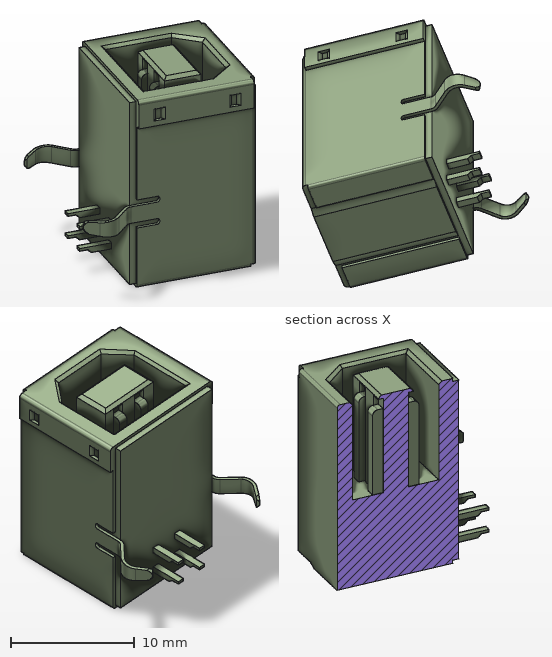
import cadquery as cq
import math


TOTAL_HEIGHT = 17.0
SHELL_BACK = 11.0
SHELL_HALF_WIDTH = 5.7
SHEET = 0.28
SHELL_FRONT = 0.55
SHELL_CORNER_RADIUS = 0.35
HOUSING_HALF_WIDTH = SHELL_HALF_WIDTH - SHEET
HOUSING_TOP = TOTAL_HEIGHT - SHEET

CAP_HALF_WIDTH = 6.03
CAP_BOTTOM = 14.52
CAP_BACK = 10.63
CAP_EDGE_RADIUS = 0.33
BACK_STRIP_HALF_WIDTH = 5.22
SHELL_WALL_TOP = 16.25
BACK_STRIP_RADIUS = 0.27

DIMPLE_LENGTH = 1.0
DIMPLE_HEIGHT = 1.06
DIMPLE_DEPTH = 0.3
DIMPLE_SLOPE = 0.27
DIMPLE_Z = 15.52
DIMPLE_Y_PLACES = (2.38, 9.0)

SIDE_FLAP_INNER_EDGE = 3.36
SIDE_FLAP_BACK = 10.5
FLAP_EDGE_RADIUS = 0.25
CENTRE_FLAP_HALF_WIDTH = 3.2
CENTRE_FLAP_HALF_BOTTOM = 2.5

SOCKET_HALF_WIDTH = 4.25
SOCKET_FRONT = 1.84
SOCKET_BACK = 9.6
SOCKET_SHOULDER_Y = 7.59
SOCKET_BACK_HALF_WIDTH = 2.52
SOCKET_DEPTH = 9.0
LEAD_IN_SIDE = 0.22
LEAD_IN_END = 0.29
LEAD_IN_SHOULDER = 0.09
LEAD_IN_CORNER = 0.14
LEAD_IN_DEPTH = 0.28

TONGUE_HALF_WIDTH = 2.85
TONGUE_FRONT = 4.1
TONGUE_BACK = 7.3
TONGUE_CHAMFER_X = 0.35
TONGUE_CHAMFER_Y = 0.29
TONGUE_CHAMFER_Z = 0.28
CONTACT_PITCH = 2.5
CONTACT_WIDTH = 0.86
CONTACT_PROTRUSION = 0.5
CONTACT_RADIUS = 0.48
CONTACT_TOP = 15.71
SLOT_DEPTH = 0.45
SLOT_LEFT_CLEARANCE = 0.2
SLOT_ROOF_DROP = 0.1

PIN_WIDTH = 0.6
PIN_HEIGHT = 0.55
PIN_TIP_HEIGHT = 0.25
PIN_LENGTH = 2.79
PIN_TAPER_START = 1.78
PIN_TAPER_END = 2.1
PIN_TOPS = (2.28, 4.28)

CLIP_Z = 6.69
CLIP_HALF_WIDTH = 0.745
CLIP_SLOT_HEIGHT = 0.52
CLIP_SLOT_BACK = 2.53
CLIP_REACH = 7.445
CLIP_LENGTH = 4.42
CLIP_BEND_ANGLE = 45
CLIP_NECK_RADIUS = 0.6
CLIP_BELLY_RADIUS = 1.3
CLIP_BELLY_END_ANGLE = 217
CLIP_TAPER_START = 1.9
CLIP_SHOULDER = 4.05
CLIP_SHOULDER_HALF_WIDTH = 0.54


def block(x0, x1, y0, y1, z0, z1):
    """Axis-aligned box between two opposite corners."""
    return cq.Workplane("XY").box(x1 - x0, y1 - y0, z1 - z0, centered=False).translate((x0, y0, z0))


def both_sides(half):
    """Join a shape on the -X side with its mirror image on the +X side."""
    return half.union(half.mirror("YZ"))


def make_shell_wall():
    """Housing block wrapped by the side and back walls of the shell."""
    housing = block(-HOUSING_HALF_WIDTH, HOUSING_HALF_WIDTH, 0, CAP_BACK, SHEET, HOUSING_TOP)
    lower = block(-SHELL_HALF_WIDTH, SHELL_HALF_WIDTH, SHELL_FRONT, SHELL_BACK, SHEET, SHELL_WALL_TOP)
    lower = lower.edges("|Z and >Y").fillet(SHELL_CORNER_RADIUS)
    return lower.union(housing)


def make_cap():
    """Top plate with folded side skirts and the strip bent down onto the back wall."""
    cap = block(-CAP_HALF_WIDTH, CAP_HALF_WIDTH, SHELL_FRONT, CAP_BACK, CAP_BOTTOM, TOTAL_HEIGHT)
    cap = cap.edges("|Y and >Z").fillet(CAP_EDGE_RADIUS)
    half_strip = BACK_STRIP_HALF_WIDTH
    strip = block(-half_strip, half_strip, SHELL_FRONT, SHELL_BACK, CAP_BOTTOM, TOTAL_HEIGHT)
    strip = strip.edges("|X and >Y and >Z").fillet(BACK_STRIP_RADIUS)
    return cap.union(strip)


def make_dimples():
    """Latch dimples with a flat floor and two sloped ends, on both cap sides."""
    half_length = DIMPLE_LENGTH / 2
    floor_x = -CAP_HALF_WIDTH + DIMPLE_DEPTH
    half_floor = half_length - DIMPLE_SLOPE
    dimples = cq.Workplane("XY")
    for y in DIMPLE_Y_PLACES:
        dimple = (
            cq.Workplane("XY", origin=(0, y, DIMPLE_Z))
            .moveTo(-CAP_HALF_WIDTH, -half_length)
            .lineTo(floor_x, -half_floor)
            .lineTo(floor_x, half_floor)
            .lineTo(-CAP_HALF_WIDTH, half_length)
            .close()
            .extrude(DIMPLE_HEIGHT / 2, both=True)
        )
        dimples = dimples.add(dimple)
    return both_sides(dimples.combine())


def make_bottom_flaps():
    """Two flaps folded in from the sides and a centre flap with sloped ends."""
    side_flap = block(-SHELL_HALF_WIDTH, -SIDE_FLAP_INNER_EDGE, SHELL_FRONT, SIDE_FLAP_BACK, 0, SHEET)
    side_flap = side_flap.edges("|Y and <Z and <X").fillet(FLAP_EDGE_RADIUS)
    centre_flap = (
        cq.Workplane("XZ", origin=(0, SHELL_BACK, 0))
        .moveTo(-CENTRE_FLAP_HALF_WIDTH, SHEET)
        .lineTo(-CENTRE_FLAP_HALF_BOTTOM, 0)
        .lineTo(CENTRE_FLAP_HALF_BOTTOM, 0)
        .lineTo(CENTRE_FLAP_HALF_WIDTH, SHEET)
        .close()
        .extrude(SHELL_BACK - SHELL_FRONT)
    )
    return both_sides(side_flap).union(centre_flap)


def socket_outline(side, end, shoulder, corner):
    """Corner points of the D-shaped socket, enlarged by the given margins."""
    half_width = SOCKET_HALF_WIDTH + side
    half_back = SOCKET_BACK_HALF_WIDTH + corner
    front_y = SOCKET_FRONT - end
    shoulder_y = SOCKET_SHOULDER_Y + shoulder
    back_y = SOCKET_BACK + end
    return [
        (-half_width, front_y),
        (half_width, front_y),
        (half_width, shoulder_y),
        (half_back, back_y),
        (-half_back, back_y),
        (-half_width, shoulder_y),
    ]


def make_socket():
    """Socket cavity with a flared lead-in at its mouth."""
    inner = socket_outline(0, 0, 0, 0)
    mouth = socket_outline(LEAD_IN_SIDE, LEAD_IN_END, LEAD_IN_SHOULDER, LEAD_IN_CORNER)
    cavity = cq.Workplane("XY", origin=(0, 0, TOTAL_HEIGHT)).polyline(inner).close().extrude(-SOCKET_DEPTH)
    lead_in = (
        cq.Workplane("XY", origin=(0, 0, TOTAL_HEIGHT))
        .polyline(mouth)
        .close()
        .workplane(offset=-LEAD_IN_DEPTH)
        .polyline(inner)
        .close()
        .loft(ruled=True)
    )
    return cavity.union(lead_in)


def make_tongue():
    """Tongue standing in the socket, with a chamfered tip and contacts set in slots."""
    width = 2 * TONGUE_HALF_WIDTH
    thickness = TONGUE_BACK - TONGUE_FRONT
    mid_y = (TONGUE_FRONT + TONGUE_BACK) / 2
    floor_z = TOTAL_HEIGHT - SOCKET_DEPTH
    chamfer_z = TOTAL_HEIGHT - TONGUE_CHAMFER_Z
    tongue = block(-TONGUE_HALF_WIDTH, TONGUE_HALF_WIDTH, TONGUE_FRONT, TONGUE_BACK, floor_z, chamfer_z)
    tip = (
        cq.Workplane("XY", origin=(0, mid_y, chamfer_z))
        .rect(width, thickness)
        .workplane(offset=TONGUE_CHAMFER_Z)
        .rect(width - 2 * TONGUE_CHAMFER_X, thickness - 2 * TONGUE_CHAMFER_Y)
        .loft(ruled=True)
    )
    slot_top = chamfer_z - SLOT_ROOF_DROP
    slot_back = TONGUE_FRONT + SLOT_DEPTH
    contact_front = TONGUE_FRONT - CONTACT_PROTRUSION
    mid_point = (0, mid_y, 0)
    slots = cq.Workplane("XY")
    contacts = cq.Workplane("XY")
    for x in (-CONTACT_PITCH / 2, CONTACT_PITCH / 2):
        x0 = x - CONTACT_WIDTH / 2
        x1 = x + CONTACT_WIDTH / 2
        slot_x0 = x0 - SLOT_LEFT_CLEARANCE
        slot = block(slot_x0, x1, TONGUE_FRONT, slot_back, floor_z, slot_top)
        contact = block(x0, x1, contact_front, slot_back, floor_z, CONTACT_TOP)
        contact = contact.edges("|X and <Y and >Z").fillet(CONTACT_RADIUS)
        slots = slots.add(slot).add(slot.mirror("XZ", mid_point))
        contacts = contacts.add(contact).add(contact.mirror("XZ", mid_point))
    return tongue.cut(slots.combine()).union(tip).union(contacts.combine())


def make_pins():
    """Solder pins with a thinned tip, two rows of two."""
    pins = cq.Workplane("XY")
    for top in PIN_TOPS:
        row = (
            cq.Workplane("YZ", origin=(-CONTACT_PITCH / 2, 0, 0))
            .moveTo(SHELL_FRONT, top)
            .lineTo(-PIN_LENGTH, top)
            .lineTo(-PIN_LENGTH, top - PIN_TIP_HEIGHT)
            .lineTo(-PIN_TAPER_END, top - PIN_TIP_HEIGHT)
            .lineTo(-PIN_TAPER_START, top - PIN_HEIGHT)
            .lineTo(SHELL_FRONT, top - PIN_HEIGHT)
            .close()
            .extrude(PIN_WIDTH / 2, both=True)
        )
        pins = pins.add(row)
    return both_sides(pins.combine())


def make_clip_slots():
    """Round-ended slots that free each clip from the shell side wall."""
    slots = cq.Workplane("XY")
    radius = CLIP_SLOT_HEIGHT / 2
    centre_offset = CLIP_HALF_WIDTH + radius
    for z in (CLIP_Z - centre_offset, CLIP_Z + centre_offset):
        slot = (
            cq.Workplane("YZ", origin=(-SHELL_HALF_WIDTH, 0, 0))
            .moveTo(0, z - radius)
            .lineTo(CLIP_SLOT_BACK - radius, z - radius)
            .threePointArc((CLIP_SLOT_BACK, z), (CLIP_SLOT_BACK - radius, z + radius))
            .lineTo(0, z + radius)
            .close()
            .extrude(SHEET)
        )
        slots = slots.add(slot)
    return both_sides(slots.combine())


def make_clips():
    """Spring clips bent outwards, then back in, with tapered round tips."""

    def polar(centre, radius, degrees):
        angle = math.radians(degrees)
        return centre[0] + radius * math.cos(angle), centre[1] + radius * math.sin(angle)

    neck = (-SHELL_HALF_WIDTH - CLIP_NECK_RADIUS, 0)
    neck_inner = CLIP_NECK_RADIUS + SHEET
    belly_inner = CLIP_BELLY_RADIUS - SHEET
    belly_start_angle = 180 - CLIP_BEND_ANGLE
    neck_end = polar(neck, CLIP_NECK_RADIUS, -CLIP_BEND_ANGLE)
    belly_x = CLIP_BELLY_RADIUS - CLIP_REACH
    belly_start_x = polar((belly_x, 0), CLIP_BELLY_RADIUS, belly_start_angle)[0]
    run_drop = (neck_end[0] - belly_start_x) / math.tan(math.radians(CLIP_BEND_ANGLE))
    belly_y = neck_end[1] - run_drop - CLIP_BELLY_RADIUS * math.sin(math.radians(belly_start_angle))
    belly = (belly_x, belly_y)
    belly_end = polar(belly, CLIP_BELLY_RADIUS, CLIP_BELLY_END_ANGLE)
    tail_drop = belly_end[1] + CLIP_LENGTH
    tail_inward = tail_drop * math.tan(math.radians(CLIP_BELLY_END_ANGLE - 180))
    inner_end = polar(belly, belly_inner, CLIP_BELLY_END_ANGLE)

    strip = (
        cq.Workplane("XY", origin=(0, 0, CLIP_Z))
        .moveTo(-SHELL_HALF_WIDTH, SHELL_FRONT)
        .lineTo(-SHELL_HALF_WIDTH, 0)
        .threePointArc(polar(neck, CLIP_NECK_RADIUS, -CLIP_BEND_ANGLE / 2), neck_end)
        .lineTo(*polar(belly, CLIP_BELLY_RADIUS, belly_start_angle))
        .threePointArc(polar(belly, CLIP_BELLY_RADIUS, 180), belly_end)
        .lineTo(belly_end[0] + tail_inward, belly_end[1] - tail_drop)
        .lineTo(inner_end[0] + tail_inward, inner_end[1] - tail_drop)
        .lineTo(*inner_end)
        .threePointArc(polar(belly, belly_inner, 180), polar(belly, belly_inner, belly_start_angle))
        .lineTo(*polar(neck, neck_inner, -CLIP_BEND_ANGLE))
        .threePointArc(polar(neck, neck_inner, -CLIP_BEND_ANGLE / 2), polar(neck, neck_inner, 0))
        .lineTo(-HOUSING_HALF_WIDTH, SHELL_FRONT)
        .close()
        .extrude(CLIP_HALF_WIDTH, both=True)
    )
    side_outline = (
        cq.Workplane("YZ", origin=(-CLIP_REACH, 0, CLIP_Z))
        .moveTo(SHELL_FRONT, CLIP_HALF_WIDTH)
        .lineTo(-CLIP_TAPER_START, CLIP_HALF_WIDTH)
        .lineTo(-CLIP_SHOULDER, CLIP_SHOULDER_HALF_WIDTH)
        .threePointArc((-CLIP_LENGTH, 0), (-CLIP_SHOULDER, -CLIP_SHOULDER_HALF_WIDTH))
        .lineTo(-CLIP_TAPER_START, -CLIP_HALF_WIDTH)
        .lineTo(SHELL_FRONT, -CLIP_HALF_WIDTH)
        .close()
        .extrude(CLIP_REACH)
    )
    return both_sides(strip.intersect(side_outline))


result = (
    make_shell_wall()
    .union(make_cap())
    .union(make_bottom_flaps())
    .cut(make_dimples())
    .cut(make_clip_slots())
    .cut(make_socket())
    .union(make_tongue())
    .union(make_pins())
    .union(make_clips())
)